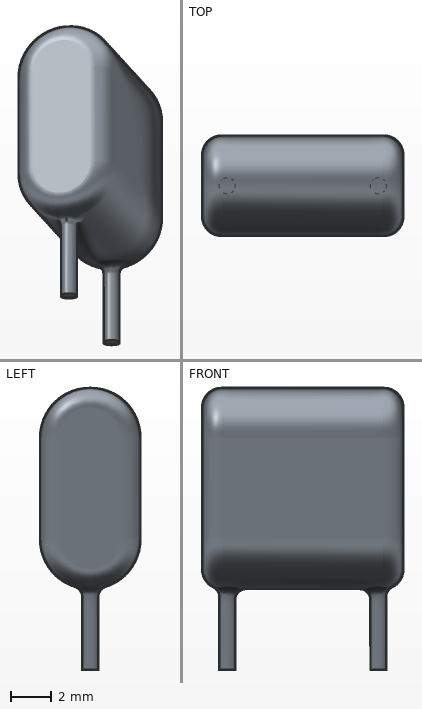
import cadquery as cq

body_length = 10.0
body_thickness = 5.0
body_height = 10.0
rim_radius = 1.0

lead_pitch = 7.5
lead_diameter = 0.8
lead_length = 4.0
lead_fillet_radius = 0.5

body_center_z = body_height / 2


def make_body():
    """Stadium-section block centred on X and Y, standing on Z = 0."""
    return (
        cq.Workplane("YZ", origin=(-body_length / 2, 0, body_center_z))
        .slot2D(body_height, body_thickness, angle=90)
        .extrude(body_length)
        .faces("<X or >X")
        .edges()
        .fillet(rim_radius)
    )


def make_leads():
    """Pair of wires running from inside the body down to their free ends."""
    return (
        cq.Workplane("XY", origin=(0, 0, -lead_length))
        .pushPoints([(-lead_pitch / 2, 0), (lead_pitch / 2, 0)])
        .circle(lead_diameter / 2)
        .extrude(lead_length + body_center_z)
    )


def blend_leads(part):
    """Fillet the closed seams where the leads leave the body underside."""
    seam_zone = cq.selectors.BoxSelector(
        (-body_length / 2, -lead_diameter, -lead_diameter),
        (body_length / 2, lead_diameter, lead_diameter),
        boundingbox=True,
    )
    return part.edges(seam_zone).fillet(lead_fillet_radius)


result = blend_leads(make_body().union(make_leads()))